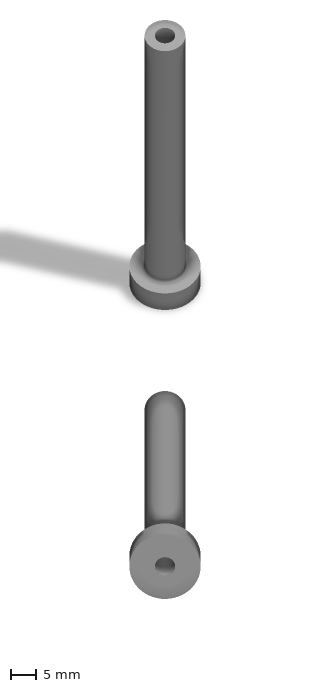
import cadquery as cq

total_length = 75.0
head_diameter = 14.0
head_height = 5.0
shaft_diameter = 8.0
bore_diameter = 4.0
neck_fillet_radius = 0.5

head_radius = head_diameter / 2
shaft_radius = shaft_diameter / 2
neck_top = head_height + neck_fillet_radius

pin = (
    cq.Workplane("XZ")
    .lineTo(head_radius, 0)
    .lineTo(head_radius, head_height)
    .lineTo(shaft_radius + neck_fillet_radius, head_height)
    .radiusArc((shaft_radius, neck_top), neck_fillet_radius)
    .lineTo(shaft_radius, total_length)
    .lineTo(0, total_length)
    .close()
    .revolve(360, (0, 0, 0), (0, 1, 0))
)

bore = cq.Workplane("XY").circle(bore_diameter / 2).extrude(total_length)

result = pin.cut(bore)